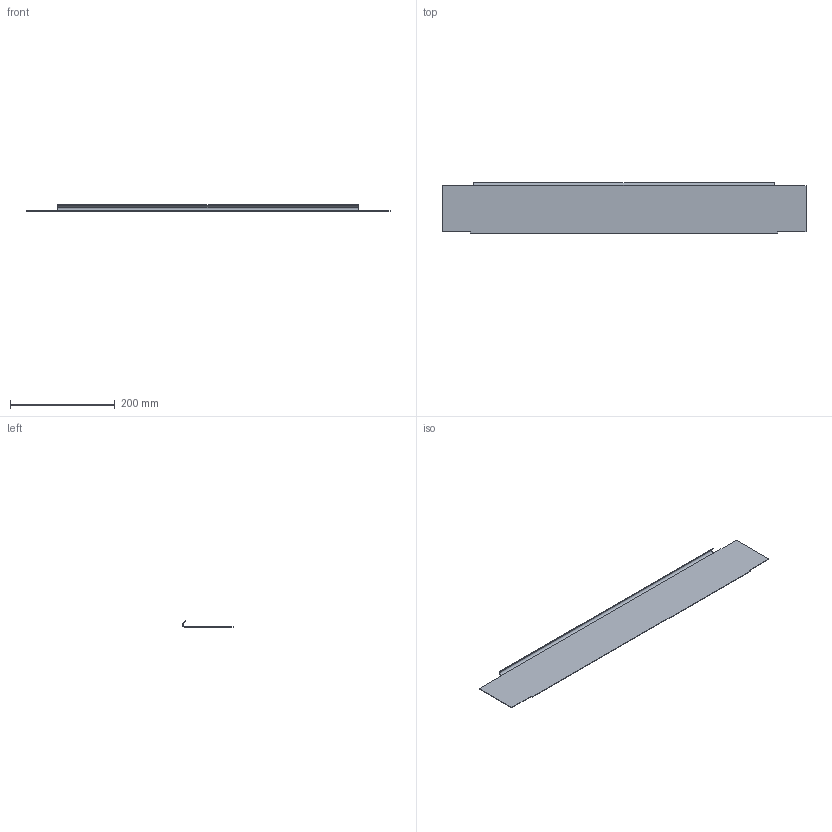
import cadquery as cq
import math

length = 695.0
depth = 97.0
height = 12.5
thickness = 1.0

tongue_length = 588.0
tongue_depth = 3.0

hook_length = 573.0
bend_radius = 4.0
bend_angle = 135.0
neck_depth = 1.0

outer_radius = bend_radius + thickness

front = -depth / 2
rear = depth / 2
bend_start = rear - outer_radius
plate_rear = bend_start - neck_depth


def make_plate():
    """Flat sheet with a tongue along its front edge."""
    plate_front = front + tongue_depth
    plate_depth = plate_rear - plate_front
    on_base = (True, False, False)
    plate = cq.Workplane("XY").box(length, plate_depth, thickness, centered=on_base)
    tongue = cq.Workplane("XY").box(tongue_length, tongue_depth, thickness, centered=on_base)
    return plate.translate((0, plate_front, 0)).union(tongue.translate((0, front, 0)))


def bend_point(radius, turn):
    """Point (Y, Z) on the bend at a radius from its axis, after a turn in degrees."""
    angle = math.radians(turn)
    return (bend_start + radius * math.sin(angle), outer_radius - radius * math.cos(angle))


def make_hook():
    """Strip behind the plate: a flat neck, an upward bend and a straight lip leaning over the plate."""
    inner_root = bend_point(bend_radius, bend_angle)
    outer_root = bend_point(outer_radius, bend_angle)

    lip_rise = height - outer_root[1]
    lip_run = lip_rise / math.tan(math.radians(bend_angle))
    inner_tip = (inner_root[0] + lip_run, inner_root[1] + lip_rise)
    outer_tip = (outer_root[0] + lip_run, height)

    profile = (
        cq.Workplane("YZ")
        .moveTo(plate_rear, 0)
        .lineTo(bend_start, 0)
        .threePointArc(bend_point(outer_radius, bend_angle / 2), outer_root)
        .lineTo(*outer_tip)
        .lineTo(*inner_tip)
        .lineTo(*inner_root)
        .threePointArc(bend_point(bend_radius, bend_angle / 2), (bend_start, thickness))
        .lineTo(plate_rear, thickness)
        .close()
    )
    return profile.extrude(hook_length / 2, both=True)


result = make_plate().union(make_hook())